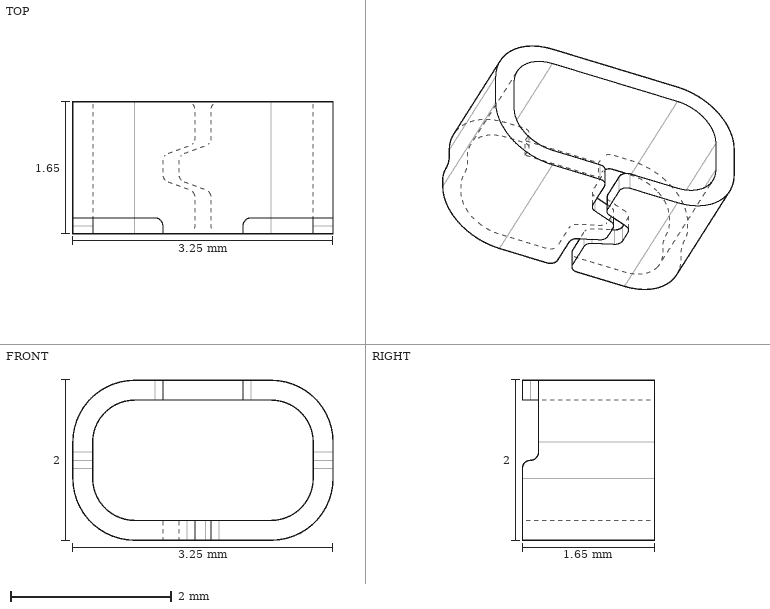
import cadquery as cq
import math

width = 3.25
depth = 1.65
height = 2.0
wall = 0.25
outer_radius = 0.775

setback = 0.2
blend_radius = setback / 2
tab_half_width = 0.5

seam_gap = 0.2
seam_radius = 0.1
tongue_length = 0.4
tongue_root_half_width = 0.3
tongue_taper_deg = 20.0

mid_depth = depth / 2
seam_edge = seam_gap / 2


def rounded_bar(bar_width, bar_height, radius):
    """Rounded rectangular bar running from Y = 0 to Y = depth."""
    return (
        cq.Workplane("XZ")
        .rect(bar_width, bar_height)
        .extrude(-depth)
        .edges("|Y")
        .fillet(radius)
    )


def make_ring():
    outer = rounded_bar(width, height, outer_radius)
    inner = rounded_bar(width - 2 * wall, height - 2 * wall, outer_radius - wall)
    return outer.cut(inner)


def make_tab_envelope():
    """Tab outline with concave blends at its root, through the upper half."""
    root = tab_half_width + blend_radius
    return (
        cq.Workplane("XY")
        .moveTo(-tab_half_width, 0)
        .lineTo(tab_half_width, 0)
        .lineTo(tab_half_width, setback - blend_radius)
        .radiusArc((root, setback), blend_radius)
        .lineTo(-root, setback)
        .radiusArc((-tab_half_width, setback - blend_radius), blend_radius)
        .close()
        .extrude(height)
    )


def make_front_relief():
    """Material ahead of the setback face, ending in an S-shaped step at Z = 0."""
    r = blend_radius
    step = (
        cq.Workplane("YZ")
        .moveTo(0, -r)
        .radiusArc((r, 0), r)
        .radiusArc((setback, r), -r)
        .lineTo(setback, height)
        .lineTo(0, height)
        .close()
        .extrude(width / 2, both=True)
    )
    return step.cut(make_tab_envelope())


def make_tongue_side(edge_x):
    """Block right of the seam edge at edge_x, including the rounded tongue."""
    tip_half_width = tongue_root_half_width - tongue_length * math.tan(math.radians(tongue_taper_deg))
    tip_x = edge_x - tongue_length
    block_right = width / 2
    return (
        cq.Workplane("XY")
        .workplane(offset=-height / 2)
        .polyline([
            (block_right, 0),
            (edge_x, 0),
            (edge_x, mid_depth - tongue_root_half_width),
            (tip_x, mid_depth - tip_half_width),
            (tip_x, mid_depth + tip_half_width),
            (edge_x, mid_depth + tongue_root_half_width),
            (edge_x, depth),
            (block_right, depth),
        ])
        .close()
        .extrude(wall)
        .edges("|Z")
        .edges(cq.selectors.BoxSelector(
            (tip_x - seam_radius, seam_radius, -height),
            (edge_x + seam_radius, depth - seam_radius, height),
        ))
        .fillet(seam_radius)
    )


def make_seam():
    """Gap between the tongue and the socket, which is the tongue moved along -X."""
    return make_tongue_side(-seam_edge).cut(make_tongue_side(seam_edge))


def round_seam_ends(body):
    """Round the four corners where the seam meets the front and back faces."""
    corner_zone = cq.selectors.BoxSelector(
        (-seam_gap, -seam_radius, -height),
        (seam_gap, seam_radius, 0),
    ) + cq.selectors.BoxSelector(
        (-seam_gap, depth - seam_radius, -height),
        (seam_gap, depth + seam_radius, 0),
    )
    return body.edges("|Z").edges(corner_zone).fillet(seam_radius)


result = round_seam_ends(make_ring().cut(make_front_relief()).cut(make_seam()))